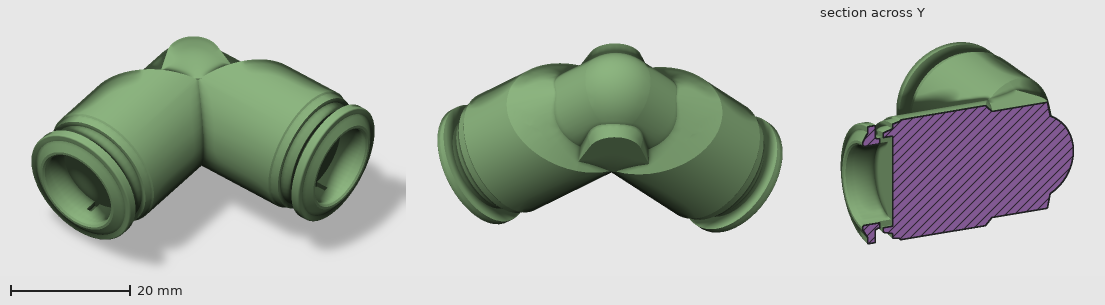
import cadquery as cq
import math

CORE_RADIUS = 7.75
SHELL_RADIUS = 10.75

SHELL_START = 8.65
SHELL_SLOPE = 30.0
SHOULDER_TAPER = 50.0
SHOULDER_HEIGHT = 6.8

SHELL_END = 24.4
SHELL_CHAMFER_END = 24.65
BORE_FLOOR = 26.0
RING_END = 27.7
NECK_END = 28.6
FLANGE_START = 29.1
FLANGE_END = 30.62
ARM_LENGTH = 31.6

OUTER_RING_RADII = (10.5, 10.2)
INNER_RING_RADII = (9.4, 8.9)
NECK_RADIUS = 8.0
NECK_FLARE_RADIUS = 8.2
FLANGE_RADIUS = 10.5
FLANGE_ROUND = 0.25
LEAD_CONE_RADIUS = 9.4
MOUTH_FACE_RADIUS = 7.75
BORE_RADIUS = 7.0
BORE_CHAMFER = 0.3

SLOT_WIDTH = 1.0
SLOT_END = 28.27

PAD_HEIGHT = 9.5
PAD_RADIUS = 4.5
PAD_OFFSET = 1.95
PAD_END = 7.75
PAD_SIDE_ANGLE = 20.0
PAD_DRAFT = 11.0

MITRE_NORMAL = (1, 1, 0)


def make_arm_body():
    """Shell and stepped end turned about X, with the start cut on a slope."""
    turned = (
        cq.Workplane("XY")
        .moveTo(0, 0)
        .lineTo(0, SHELL_RADIUS)
        .lineTo(SHELL_END, SHELL_RADIUS)
        .lineTo(SHELL_CHAMFER_END, OUTER_RING_RADII[0])
        .lineTo(BORE_FLOOR, OUTER_RING_RADII[1])
        .lineTo(BORE_FLOOR, INNER_RING_RADII[0])
        .lineTo(RING_END, INNER_RING_RADII[1])
        .lineTo(RING_END, NECK_RADIUS)
        .lineTo(NECK_END, NECK_RADIUS)
        .lineTo(FLANGE_START, NECK_FLARE_RADIUS)
        .lineTo(FLANGE_START, FLANGE_RADIUS)
        .lineTo(FLANGE_END - FLANGE_ROUND, FLANGE_RADIUS)
        .radiusArc((FLANGE_END, FLANGE_RADIUS - FLANGE_ROUND), FLANGE_ROUND)
        .lineTo(FLANGE_END, LEAD_CONE_RADIUS)
        .lineTo(ARM_LENGTH, MOUTH_FACE_RADIUS)
        .lineTo(ARM_LENGTH, BORE_RADIUS + BORE_CHAMFER)
        .lineTo(ARM_LENGTH - BORE_CHAMFER, BORE_RADIUS)
        .lineTo(BORE_FLOOR, BORE_RADIUS)
        .lineTo(BORE_FLOOR, 0)
        .close()
        .revolve(360, (0, 0, 0), (1, 0, 0))
    )
    beyond_slope = (
        cq.Workplane(slope_plane(1))
        .rect(4 * ARM_LENGTH, 4 * ARM_LENGTH)
        .extrude(2 * ARM_LENGTH)
    )
    return turned.intersect(beyond_slope)


def slope_plane(side):
    """Sloped start plane; side +1 faces the arm end and -1 faces the elbow."""
    slope = math.radians(SHELL_SLOPE)
    normal = (side * math.cos(slope), -side * math.sin(slope), 0)
    return cq.Plane(origin=(SHELL_START, 0, 0), xDir=(math.sin(slope), math.cos(slope), 0), normal=normal)


def make_shoulder():
    """Tapered blend rising from the elliptical start of the shell."""
    long_radius = SHELL_RADIUS / math.cos(math.radians(SHELL_SLOPE))
    return (
        cq.Workplane(slope_plane(-1))
        .ellipse(long_radius, SHELL_RADIUS)
        .extrude(SHOULDER_HEIGHT, taper=SHOULDER_TAPER)
    )


def make_core_leg():
    """Straight part of the core, from the elbow centre into the arm."""
    return cq.Workplane("YZ").circle(CORE_RADIUS).extrude(SHELL_START)


def make_slots():
    """Bar that opens the neck wall at the top and the bottom."""
    return (
        cq.Workplane("XY")
        .box(SLOT_END - BORE_FLOOR, SLOT_WIDTH, 2 * NECK_RADIUS, centered=(False, True, True))
        .translate((BORE_FLOOR, 0, 0))
    )


def make_pad():
    """Upper label pad, drafted outward from its face down to the mid-plane."""
    side = math.radians(PAD_SIDE_ANGLE)
    tangent_x = PAD_OFFSET - PAD_RADIUS * math.sin(side)
    tangent_y = PAD_RADIUS * math.cos(side)
    end_y = tangent_y + (PAD_END - tangent_x) * math.tan(side)
    return (
        cq.Workplane("XY")
        .moveTo(PAD_END, end_y)
        .lineTo(tangent_x, tangent_y)
        .threePointArc((PAD_OFFSET - PAD_RADIUS, 0), (tangent_x, -tangent_y))
        .lineTo(PAD_END, -end_y)
        .close()
        .extrude(-PAD_HEIGHT, taper=-PAD_DRAFT)
        .translate((0, 0, PAD_HEIGHT))
        .rotate((0, 0, 0), (0, 0, 1), -45)
    )


arm = make_arm_body().union(make_shoulder()).union(make_core_leg()).cut(make_slots())
pad = make_pad()

result = (
    cq.Workplane("XY")
    .sphere(CORE_RADIUS)
    .union(arm)
    .union(arm.mirror(MITRE_NORMAL))
    .union(pad)
    .union(pad.mirror("XY"))
)